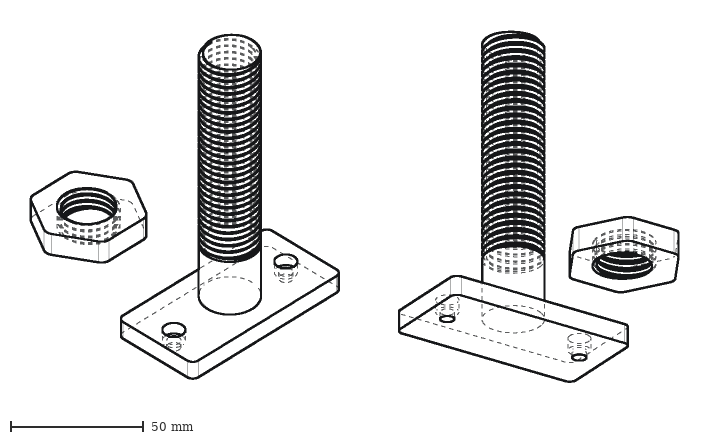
import cadquery as cq
import math

plate_width = 40.0
plate_length = 80.0
plate_thickness = 8.0
plate_corner_radius = 3.0

screw_hole_spacing = 60.0
screw_hole_diameter = 5.4
counterbore_diameter = 8.7
counterbore_depth = 5.0

total_height = 123.0
shank_top = 33.0
bolt_diameter = 23.6
bolt_core_diameter = 20.3

thread_turns = 30
pitch = (total_height - shank_top) / thread_turns
flank_angle = 30.0
bolt_crest_width = pitch / 8
nut_crest_width = pitch / 4
ridge_overlap = 0.2
bolt_thread_start = 90.0
nut_thread_start = -90.0

nut_distance = 75.0
nut_sides = 6
nut_across_flats = plate_width
nut_height = 10.0
nut_corner_radius = 4.0
nut_bore_diameter = 21.0
nut_thread_diameter = 24.0


def cylinder(diameter, bottom, top):
    """Cylinder on the Z axis."""
    return cq.Workplane(origin=(0, 0, bottom)).circle(diameter / 2).extrude(top - bottom)


def thread_ridge(foot_diameter, crest_diameter, crest_width, start_angle, bottom, top):
    """Helical ridge from foot to crest, outward or inward, cut flat at its bottom and top."""
    crest_radius = crest_diameter / 2
    outward = math.copysign(1, crest_diameter - foot_diameter)
    buried_radius = foot_diameter / 2 - outward * ridge_overlap
    ridge_depth = abs(crest_radius - buried_radius)
    half_crest = crest_width / 2
    half_foot = half_crest + ridge_depth * math.tan(math.radians(flank_angle))
    helix = cq.Wire.makeHelix(pitch, top - bottom + 2 * pitch, crest_radius)
    coil = (
        cq.Workplane("XZ")
        .polyline([
            (buried_radius, -half_foot),
            (crest_radius, -half_crest),
            (crest_radius, half_crest),
            (buried_radius, half_foot),
        ])
        .close()
        .sweep(cq.Workplane(obj=helix), isFrenet=True)
        .rotate((0, 0, 0), (0, 0, 1), start_angle)
        .translate((0, 0, bottom - pitch))
    )
    trim = cylinder(2 * max(foot_diameter, crest_diameter), bottom, top)
    return coil.intersect(trim)


def make_bolt_plate():
    """Plate, shank and threaded stud as one piece."""
    plate = (
        cq.Workplane()
        .rect(plate_width, plate_length)
        .extrude(plate_thickness)
        .edges("|Z")
        .fillet(plate_corner_radius)
        .faces(">Z")
        .workplane()
        .rarray(1.2, screw_hole_spacing, 1, 2)
        .cboreHole(screw_hole_diameter, counterbore_diameter, counterbore_depth)
    )
    shank = cylinder(bolt_diameter, 0, shank_top)
    core = cylinder(bolt_core_diameter, shank_top, total_height)
    ridge = thread_ridge(
        bolt_core_diameter, bolt_diameter, bolt_crest_width, bolt_thread_start, shank_top, total_height
    )
    stud = core.union(ridge)
    return stud.union(plate.union(shank))


def make_nut():
    """Hexagonal nut with rounded corners and a threaded bore."""
    half_side_angle = 180 / nut_sides
    across_corners = nut_across_flats / math.cos(math.radians(half_side_angle))
    blank = (
        cq.Workplane()
        .polygon(nut_sides, across_corners)
        .extrude(nut_height)
        .edges("|Z")
        .fillet(nut_corner_radius)
        .rotate((0, 0, 0), (0, 0, 1), half_side_angle)
    )
    ring = blank.cut(cylinder(nut_thread_diameter, 0, nut_height))
    ridge = thread_ridge(
        nut_thread_diameter, nut_bore_diameter, nut_crest_width, nut_thread_start, 0, nut_height
    )
    return ring.union(ridge).translate((-nut_distance, 0, 0))


bolt_plate = make_bolt_plate()
nut = make_nut()

result = cq.Compound.makeCompound([bolt_plate.val(), nut.val()])